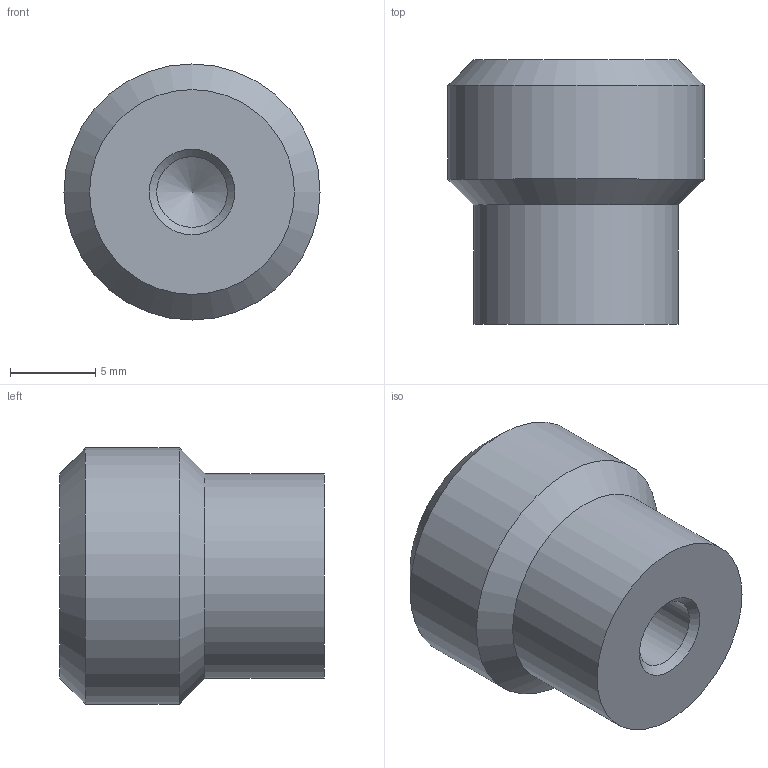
import cadquery as cq
import math

head_diameter = 15.0
neck_diameter = 12.0
total_length = 15.5
neck_length = 7.0

hole_diameter = 4.134
mouth_diameter = 5.0
hole_depth = 10.0
drill_point_angle = 118.0

head_radius = head_diameter / 2
neck_radius = neck_diameter / 2
hole_radius = hole_diameter / 2
mouth_radius = mouth_diameter / 2

head_bevel = head_radius - neck_radius
mouth_bevel = mouth_radius - hole_radius
drill_point_length = hole_radius / math.tan(math.radians(drill_point_angle / 2))


def revolve_about_y(half_profile):
    """Revolve a closed (radius, y) half profile around the Y axis."""
    return cq.Workplane("XY").polyline(half_profile).close().revolve(360, (0, 0, 0), (0, 1, 0))


def make_body():
    """Neck and larger head, the head bevelled at both ends."""
    return revolve_about_y([
        (0, 0),
        (neck_radius, 0),
        (neck_radius, neck_length),
        (head_radius, neck_length + head_bevel),
        (head_radius, total_length - head_bevel),
        (head_radius - head_bevel, total_length),
        (0, total_length),
    ])


def make_hole():
    """Volume removed by the blind hole and its chamfered mouth."""
    return revolve_about_y([
        (0, 0),
        (mouth_radius, 0),
        (hole_radius, mouth_bevel),
        (hole_radius, hole_depth),
        (0, hole_depth + drill_point_length),
    ])


result = make_body().cut(make_hole())